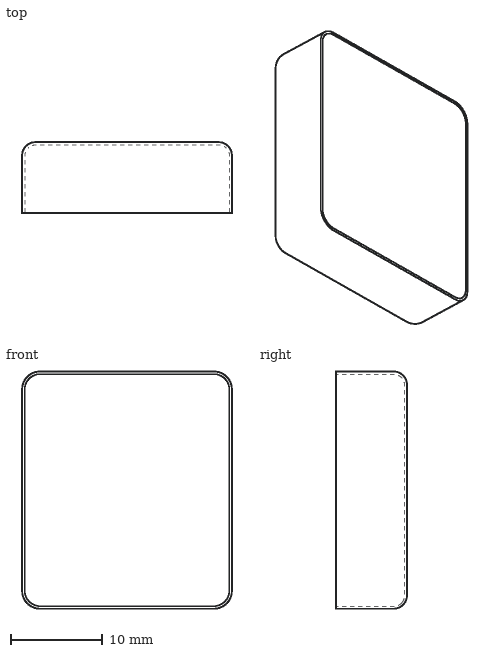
import cadquery as cq

width = 23.0
depth = 7.8
height = 26.0
wall = 0.3
corner_radius = 2.0
back_radius = 1.5


def rounded_block(inset):
    """Block with rounded corners and back edge, offset inward from the outer skin.

    The open end lies on the plane Y = 0 and the back faces +Y.
    """
    block = (
        cq.Workplane("XY")
        .box(width - 2 * inset, depth - inset, height - 2 * inset, centered=(True, False, True))
    )
    block = block.edges("|Y").fillet(corner_radius - inset)
    return block.faces(">Y").edges().fillet(back_radius - inset)


outer_body = rounded_block(0)
cavity = rounded_block(wall)
result = outer_body.cut(cavity)